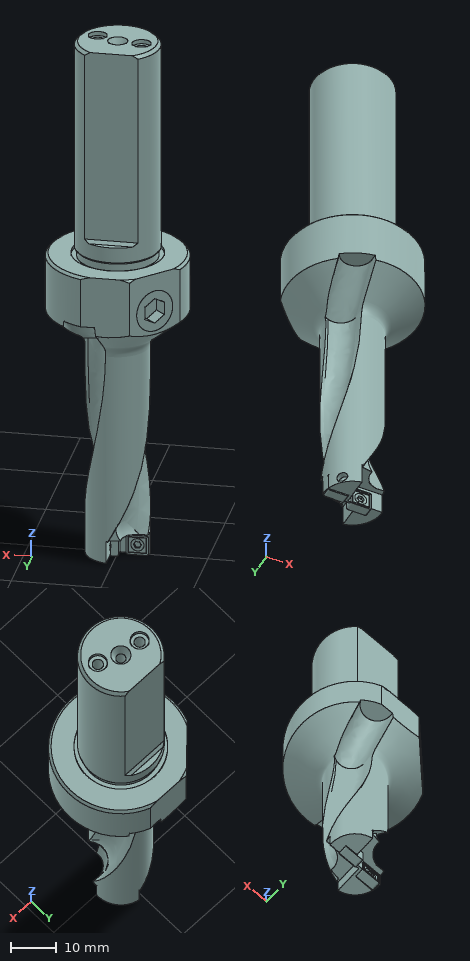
import cadquery as cq
import math

TOTAL_LENGTH = 122.2

SHANK_RADIUS = 9.5
SHANK_BOTTOM_Z = 72.9
SHANK_CHAMFER = 0.7
SHANK_FLAT_Y = 7.5
SHANK_FLAT_BOTTOM_Z = 76.9
SHANK_FLAT_BEVEL = 0.7

NECK_RADIUS = 9.0
NECK_RECESS_RADIUS = 10.3
NECK_RECESS_DEPTH = 0.6

HEAD_RADIUS = 15.9
HEAD_TOP_Z = 71.8
HEAD_CHAMFER = 0.6
HEAD_BOTTOM_Z = 58.5
HEAD_FLAT_Y = 14.9
PLUG_FLAT_DISTANCE = 14.4
PLUG_FLAT_ANGLE = 135.0

DRILL_RADIUS = 7.2
CONE_BOTTOM_Z = 51.5
BLEND_LENGTH = 1.7
DRILL_END_Z = 0.4

FLUTE_WALL_X = -1.3
FLUTE_TOP_RADIUS = 3.8
FLUTE_BOTTOM_RADIUS = 5.0
FLUTE_CENTER_Y = -4.5
FLUTE_FLOOR_TOP_SLOPE = 20.0
FLUTE_FLOOR_BOTTOM_SLOPE = -8.0
FLUTE_OUTER = 13.5
FLUTE_FLOOR_LENGTH = 7.3
FLUTE_TOP_Z = 51.2
FLUTE_BOTTOM_Z = 5.5
FLUTE_TWIST = 92.0
FLUTE_SECTIONS = 9
FLUTE_BALL_Z = 8.5
FLUTE_EXIT_SIDE = 2.0
FLUTE_EXIT_RUN = 19.5
FLUTE_EXIT_ANGLE = 42.0
FLUTE_EXIT_TOP_Z = 59.9

POCKET_WALL_X = -1.2
POCKET_FACE_Y = -0.2

INSERT_SIZE = 5.0
INSERT_FACE_Y = -0.4
INSERT_THICKNESS = 2.3
INSERT_RIM = 0.5
INSERT_RECESS = 0.2
INSERT_HEIGHT = 4.6
INSERT_CORNER_RADIUS = 0.5
INNER_INSERT_X = 2.0
OUTER_INSERT_X = -4.4

SCREW_RADIUS = 0.9
SCREW_HEAD_RADIUS = 1.5
SCREW_HEAD_HEIGHT = 0.9
SCREW_LENGTH = 3.2
SCREW_SOCKET_ACROSS_CORNERS = 1.7
SCREW_SOCKET_DEPTH = 0.6

PLUG_RADIUS = 4.8
PLUG_Z = 63.0
PLUG_LENGTH = 6.1
PLUG_SOCKET_ACROSS_CORNERS = 5.9
PLUG_SOCKET_DEPTH = 3.0

CENTER_HOLE_RADIUS = 1.1
CENTER_SINK_RADIUS = 2.2
CENTER_SINK_DEPTH = 2.0
COOLANT_HOLE_RADIUS = 1.2
COOLANT_BORE_RADIUS = 2.1
COOLANT_BORE_DEPTH = 1.0
COOLANT_HOLE_PLACES = [(-5.4, 0.4), (4.9, -2.2)]
TOP_HOLE_DEPTH = 9.8
DRILL_POINT_ANGLE = 118.0

OUTLET_RADIUS = 1.2
OUTLET_Z = 2.0
OUTLET_ANGLE = 225.0
OUTLET_DEPTH = 1.5

CUT_REACH = 48.9


def box(x0, x1, y0, y1, z0, z1):
    return cq.Workplane("XY").box(x1 - x0, y1 - y0, z1 - z0, centered=False).translate((x0, y0, z0))


def turned_blank():
    cone_angle = math.atan2(HEAD_BOTTOM_Z - CONE_BOTTOM_Z, HEAD_RADIUS - DRILL_RADIUS)
    blend_top = (
        DRILL_RADIUS + BLEND_LENGTH * math.cos(cone_angle),
        CONE_BOTTOM_Z + BLEND_LENGTH * math.sin(cone_angle),
    )
    return (
        cq.Workplane("XZ")
        .moveTo(0, TOTAL_LENGTH)
        .lineTo(SHANK_RADIUS - SHANK_CHAMFER, TOTAL_LENGTH)
        .lineTo(SHANK_RADIUS, TOTAL_LENGTH - SHANK_CHAMFER)
        .lineTo(SHANK_RADIUS, SHANK_BOTTOM_Z + SHANK_RADIUS - NECK_RADIUS)
        .lineTo(NECK_RADIUS, SHANK_BOTTOM_Z)
        .lineTo(NECK_RADIUS, HEAD_TOP_Z - NECK_RECESS_DEPTH)
        .lineTo(NECK_RECESS_RADIUS, HEAD_TOP_Z - NECK_RECESS_DEPTH)
        .lineTo(NECK_RECESS_RADIUS, HEAD_TOP_Z)
        .lineTo(HEAD_RADIUS - HEAD_CHAMFER, HEAD_TOP_Z)
        .lineTo(HEAD_RADIUS, HEAD_TOP_Z - HEAD_CHAMFER)
        .lineTo(HEAD_RADIUS, HEAD_BOTTOM_Z)
        .lineTo(*blend_top)
        .tangentArcPoint((DRILL_RADIUS, CONE_BOTTOM_Z - BLEND_LENGTH), relative=False)
        .lineTo(DRILL_RADIUS, DRILL_END_Z)
        .lineTo(0, DRILL_END_Z)
        .close()
        .revolve(360, (0, 0, 0), (0, 1, 0))
    )


def shank_flat():
    bevel_top_y = SHANK_FLAT_Y + SHANK_FLAT_BEVEL
    return (
        cq.Workplane("YZ")
        .moveTo(SHANK_FLAT_Y, TOTAL_LENGTH)
        .lineTo(SHANK_FLAT_Y, SHANK_FLAT_BOTTOM_Z + SHANK_FLAT_BEVEL)
        .lineTo(bevel_top_y, SHANK_FLAT_BOTTOM_Z)
        .lineTo(SHANK_RADIUS, SHANK_FLAT_BOTTOM_Z)
        .lineTo(SHANK_RADIUS, TOTAL_LENGTH)
        .close()
        .extrude(SHANK_RADIUS, both=True)
    )


def head_flats():
    def flat(distance, angle):
        block = box(distance, CUT_REACH, -CUT_REACH, CUT_REACH, CONE_BOTTOM_Z, HEAD_TOP_Z)
        return block.rotate((0, 0, 0), (0, 0, 1), angle)

    return flat(HEAD_FLAT_Y, 90).union(flat(PLUG_FLAT_DISTANCE, PLUG_FLAT_ANGLE))


def between(top_value, bottom_value, growth):
    return top_value + growth * (bottom_value - top_value)


def flute_section(depth_share):
    """Closed flute outline at a share of the flute depth, with a twist that grows as its square.

    The floor leaves the round corner at a tangent. The corner widens toward the tip.
    """
    growth = depth_share**2
    z = between(FLUTE_TOP_Z, FLUTE_BOTTOM_Z, depth_share)
    radius = between(FLUTE_TOP_RADIUS, FLUTE_BOTTOM_RADIUS, growth)
    slope = math.radians(between(FLUTE_FLOOR_TOP_SLOPE, FLUTE_FLOOR_BOTTOM_SLOPE, growth))
    center_x = FLUTE_WALL_X - radius

    def corner_point(angle):
        return (
            center_x + radius * math.cos(angle),
            FLUTE_CENTER_Y + radius * math.sin(angle),
        )

    floor_angle = math.pi / 2 + slope
    floor_x, floor_y = corner_point(floor_angle)
    wire = (
        cq.Workplane("XY", origin=(0, 0, z))
        .moveTo(FLUTE_WALL_X, -FLUTE_OUTER)
        .lineTo(FLUTE_WALL_X, FLUTE_CENTER_Y)
        .threePointArc(corner_point(floor_angle / 2), (floor_x, floor_y))
        .lineTo(
            floor_x - FLUTE_FLOOR_LENGTH * math.cos(slope),
            floor_y - FLUTE_FLOOR_LENGTH * math.sin(slope),
        )
        .lineTo(-FLUTE_OUTER, -FLUTE_OUTER)
        .close()
        .wires()
        .val()
    )
    return wire.rotate(cq.Vector(0, 0, 0), cq.Vector(0, 0, 1), -FLUTE_TWIST * growth)


def flute():
    """Twisted flute whose round corner ends in a ball above the insert pocket."""
    sections = [flute_section(i / (FLUTE_SECTIONS - 1)) for i in range(FLUTE_SECTIONS)]
    twisted = cq.Workplane(cq.Solid.makeLoft(sections))

    growth = ((FLUTE_TOP_Z - FLUTE_BALL_Z) / (FLUTE_TOP_Z - FLUTE_BOTTOM_Z)) ** 2
    radius = between(FLUTE_TOP_RADIUS, FLUTE_BOTTOM_RADIUS, growth)
    ball = cq.Workplane("XY").sphere(radius)
    below_ball = box(0, 2 * radius, 0, 2 * radius, -radius, 0)
    corner_fill = (
        below_ball.cut(ball)
        .translate((FLUTE_WALL_X - radius, FLUTE_CENTER_Y, FLUTE_BALL_Z))
        .rotate((0, 0, 0), (0, 0, 1), -FLUTE_TWIST * growth)
    )
    return twisted.cut(corner_fill)


def flute_exit():
    """A round-bottomed slot that carries the flute up through the cone, sloping out toward -Y."""
    rise = FLUTE_EXIT_RUN * math.tan(math.radians(FLUTE_EXIT_ANGLE))
    path = cq.Vector(-FLUTE_EXIT_SIDE, -FLUTE_EXIT_RUN, rise)
    far_wall_x = FLUTE_WALL_X - 2 * FLUTE_TOP_RADIUS
    slot = (
        cq.Workplane("XY", origin=(0, 0, FLUTE_TOP_Z))
        .moveTo(FLUTE_WALL_X, -FLUTE_OUTER)
        .lineTo(FLUTE_WALL_X, FLUTE_CENTER_Y)
        .threePointArc(
            (FLUTE_WALL_X - FLUTE_TOP_RADIUS, FLUTE_CENTER_Y + FLUTE_TOP_RADIUS),
            (far_wall_x, FLUTE_CENTER_Y),
        )
        .lineTo(far_wall_x, -FLUTE_OUTER)
        .close()
        .wires()
        .val()
    )
    sloped = cq.Workplane(cq.Solid.extrudeLinear(slot, [], path))
    return sloped.intersect(box(-CUT_REACH, CUT_REACH, -CUT_REACH, CUT_REACH, FLUTE_TOP_Z, FLUTE_EXIT_TOP_Z))


def insert_pocket():
    return box(POCKET_WALL_X, CUT_REACH, -CUT_REACH, POCKET_FACE_Y, 0, FLUTE_BOTTOM_Z)


def drilled_hole(radius, depth):
    point = radius / math.tan(math.radians(DRILL_POINT_ANGLE / 2))
    return (
        cq.Workplane("XZ")
        .polyline([(0, 0), (radius, 0), (radius, -depth), (0, -depth - point)])
        .close()
        .revolve(360, (0, 0, 0), (0, 1, 0))
        .translate((0, 0, TOTAL_LENGTH))
    )


def top_holes():
    sink = (
        cq.Workplane("XY", origin=(0, 0, TOTAL_LENGTH))
        .circle(CENTER_SINK_RADIUS)
        .workplane(offset=-CENTER_SINK_DEPTH)
        .circle(CENTER_HOLE_RADIUS)
        .loft()
    )
    holes = drilled_hole(CENTER_HOLE_RADIUS, TOP_HOLE_DEPTH).union(sink)
    for x, y in COOLANT_HOLE_PLACES:
        bore = cq.Workplane("XY").circle(COOLANT_BORE_RADIUS).extrude(-COOLANT_BORE_DEPTH)
        bore = bore.translate((0, 0, TOTAL_LENGTH))
        stepped = drilled_hole(COOLANT_HOLE_RADIUS, TOP_HOLE_DEPTH).union(bore)
        holes = holes.union(stepped.translate((x, y, 0)))
    return holes


def coolant_outlet():
    return (
        cq.Workplane("YZ", origin=(DRILL_RADIUS - OUTLET_DEPTH, 0, OUTLET_Z))
        .circle(OUTLET_RADIUS)
        .extrude(2 * OUTLET_DEPTH)
        .rotate((0, 0, 0), (0, 0, 1), OUTLET_ANGLE)
    )


def seated(shape, x, turn):
    """Moves an insert or screw to its seat at x, then turns it about the drill axis."""
    placed = shape.translate((x, INSERT_FACE_Y, INSERT_HEIGHT / 2))
    return placed.rotate((0, 0, 0), (0, 0, 1), turn)


def insert_block():
    half_width = INSERT_SIZE / 2
    half_height = INSERT_HEIGHT / 2
    block = box(-half_width, half_width, 0, INSERT_THICKNESS, -half_height, half_height)
    return block.edges("|Y").fillet(INSERT_CORNER_RADIUS)


def chip_recess():
    return (
        cq.Workplane("XZ")
        .rect(INSERT_SIZE - 2 * INSERT_RIM, INSERT_HEIGHT - 2 * INSERT_RIM)
        .extrude(-INSERT_RECESS)
    )


def screw_blank():
    head_bottom = INSERT_RECESS + SCREW_HEAD_HEIGHT
    return (
        cq.Workplane("XY")
        .moveTo(0, INSERT_RECESS)
        .lineTo(SCREW_HEAD_RADIUS, INSERT_RECESS)
        .lineTo(SCREW_RADIUS, head_bottom)
        .lineTo(SCREW_RADIUS, SCREW_LENGTH)
        .lineTo(0, SCREW_LENGTH)
        .close()
        .revolve(360, (0, 0, 0), (0, 1, 0))
    )


def screw_socket():
    depth = INSERT_RECESS + SCREW_SOCKET_DEPTH
    return cq.Workplane("XZ").polygon(6, SCREW_SOCKET_ACROSS_CORNERS).extrude(-depth)


def plug_placed(shape):
    """Moves a shape built along +X, outer end at X = 0, onto the slanted head flat."""
    return shape.translate((PLUG_FLAT_DISTANCE, 0, PLUG_Z)).rotate(
        (0, 0, 0), (0, 0, 1), PLUG_FLAT_ANGLE
    )


plug_blank = plug_placed(cq.Workplane("YZ").circle(PLUG_RADIUS).extrude(-PLUG_LENGTH))
plug_socket = plug_placed(
    cq.Workplane("YZ")
    .transformed(rotate=(0, 0, 90))
    .polygon(6, PLUG_SOCKET_ACROSS_CORNERS)
    .extrude(-PLUG_SOCKET_DEPTH)
)
side_plug = plug_blank.cut(plug_socket)

holder = turned_blank().cut(shank_flat()).cut(head_flats())
for side_cutter in (flute(), flute_exit(), insert_pocket()):
    holder = holder.cut(side_cutter).cut(side_cutter.rotate((0, 0, 0), (0, 0, 1), 180))
holder = holder.cut(top_holes()).cut(coolant_outlet()).cut(plug_blank)

insert_body = insert_block().cut(chip_recess()).cut(screw_blank())
screw_body = screw_blank().cut(screw_socket())
inserts = []
screws = []
for seat_x, seat_turn in ((INNER_INSERT_X, 0), (-OUTER_INSERT_X, 180)):
    holder = holder.cut(seated(insert_block(), seat_x, seat_turn))
    holder = holder.cut(seated(screw_blank(), seat_x, seat_turn))
    inserts.append(seated(insert_body, seat_x, seat_turn))
    screws.append(seated(screw_body, seat_x, seat_turn))

bodies = [holder, side_plug, *inserts, *screws]
result = cq.Compound.makeCompound([solid for body in bodies for solid in body.solids().vals()])